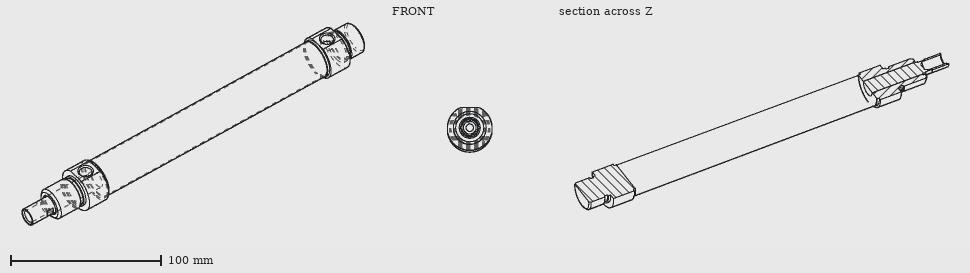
import cadquery as cq
import math

LENGTH = 275.0
FRONT_END = -LENGTH / 2
REAR_END = LENGTH / 2
PITCH_DEG = -0.33

THREAD_DIA = 22.0
GROOVE_DIA = 19.8
CAP_DIA = 30.0
COLLAR_DIA = 27.0
RUNOUT_CHAMFER = 0.5
GROOVE_WIDTH = 2.2
FLANGE_WIDTH = 1.7
CAP_WIDTH = 16.0
COLLAR_WIDTH = 1.7

FLAT_WIDTH = 12.0
FLAT_HEIGHT = math.sqrt(CAP_DIA ** 2 - FLAT_WIDTH ** 2) / 2
PORT_DIA = 8.5
PORT_MOUTH_DIA = 10.5
PORT_CHAMFER = (PORT_MOUTH_DIA - PORT_DIA) / 2
REAR_PORT_DEPTH = 7.0
PORT_CONE_DEPTH = 2.5
FRONT_PORT_DEPTH = FLAT_HEIGHT - PORT_CONE_DEPTH

REAR_THREAD_END = 12.0
REAR_CHAMFER = 1.0
NOSE_STATION = 18.5
NOSE_CHAMFER = 1.7
FRONT_THREAD_END = 37.0
NOSE_RECESS_DIA = 14.0
NOSE_RECESS_DEPTH = 1.5

TUBE_DIA = 26.5
TUBE_BORE = 25.0

ROD_DIA = 12.0
WRENCH_WIDTH = 11.0
WRENCH_START = 12.5
WRENCH_LENGTH = 5.0
ROD_HOLE_DIA = 8.5
ROD_MOUTH_DIA = 10.5
ROD_HOLE_DEPTH = 16.5
ROD_HOLE_FLOOR_DIA = 5.0
ROD_CHAMFER = (ROD_MOUTH_DIA - ROD_HOLE_DIA) / 2
ROD_CONE_DEPTH = (ROD_HOLE_DIA - ROD_HOLE_FLOOR_DIA) / 2


def cap_start(thread_end):
    """Station where the full-diameter part of a cap begins."""
    return thread_end + GROOVE_WIDTH + FLANGE_WIDTH


def cap_end(thread_end):
    """Station of a cap's inner face, against the tube."""
    return cap_start(thread_end) + CAP_WIDTH + COLLAR_WIDTH


def revolve_about_y(profile):
    """Revolve (radius, y) points around the Y axis."""
    return cq.Workplane("XY").polyline(profile).close().revolve(360, (0, 0, 0), (0, 1, 0))


def rod_cylinder(diameter, start, length):
    """Cylinder on the axis, from a station measured from the rod end."""
    return revolve_about_y([
        (0, FRONT_END + start),
        (diameter / 2, FRONT_END + start),
        (diameter / 2, FRONT_END + start + length),
        (0, FRONT_END + start + length),
    ])


def make_port(y, depth):
    """Cutting tool for a countersunk blind port with a conical floor."""
    floor = FLAT_HEIGHT - depth
    profile = [
        (0, FLAT_HEIGHT),
        (PORT_MOUTH_DIA / 2, FLAT_HEIGHT),
        (PORT_DIA / 2, FLAT_HEIGHT - PORT_CHAMFER),
        (PORT_DIA / 2, floor),
        (0, floor - PORT_CONE_DEPTH),
    ]
    tool = cq.Workplane("XZ").polyline(profile).close().revolve(360, (0, 0, 0), (0, 1, 0))
    return tool.translate((0, y, 0))


def make_cap(end_y, inward, nose, chamfer, thread_end, port_depth):
    """Threaded cap; inward is +1 or -1, the Y direction towards the tube."""
    start = cap_start(thread_end)
    shoulder = start + CAP_WIDTH
    flange = thread_end + GROOVE_WIDTH
    inner = cap_end(thread_end)
    stations = [
        (0, nose),
        (THREAD_DIA / 2 - chamfer, nose),
        (THREAD_DIA / 2, nose + chamfer),
        (THREAD_DIA / 2, thread_end - RUNOUT_CHAMFER),
        (THREAD_DIA / 2 - RUNOUT_CHAMFER, thread_end),
        (GROOVE_DIA / 2, thread_end),
        (GROOVE_DIA / 2, flange),
        (THREAD_DIA / 2, flange),
        (THREAD_DIA / 2, start),
        (CAP_DIA / 2, start),
        (CAP_DIA / 2, shoulder),
        (COLLAR_DIA / 2, shoulder),
        (COLLAR_DIA / 2, inner),
        (0, inner),
    ]
    cap = revolve_about_y([(radius, end_y + inward * station) for radius, station in stations])

    middle_y = end_y + inward * (start + CAP_WIDTH / 2)
    flat_cut = cq.Workplane("XY").box(CAP_DIA, CAP_WIDTH, CAP_DIA, centered=(True, True, False))
    cap = cap.cut(flat_cut.translate((0, middle_y, FLAT_HEIGHT)))
    return cap.cut(make_port(middle_y, port_depth))


def make_front_cap():
    """Cap with a rod bore and a shallow recess around the rod."""
    cap = make_cap(FRONT_END, 1, NOSE_STATION, NOSE_CHAMFER, FRONT_THREAD_END, FRONT_PORT_DEPTH)
    cap = cap.cut(rod_cylinder(ROD_DIA, 0, cap_end(FRONT_THREAD_END)))
    return cap.cut(rod_cylinder(NOSE_RECESS_DIA, NOSE_STATION, NOSE_RECESS_DEPTH))


def make_tube():
    """Plain tube between the two inner cap faces."""
    start = cap_end(FRONT_THREAD_END)
    length = LENGTH - start - cap_end(REAR_THREAD_END)
    return rod_cylinder(TUBE_DIA, start, length).cut(rod_cylinder(TUBE_BORE, start, length))


def make_rod():
    """Rod ending flush with the front cap's inner face."""
    rod = rod_cylinder(ROD_DIA, 0, cap_end(FRONT_THREAD_END))

    flat_cut = cq.Workplane("XY").box(ROD_DIA, WRENCH_LENGTH, ROD_DIA)
    flat_y = FRONT_END + WRENCH_START + WRENCH_LENGTH / 2
    for side in (-1, 1):
        rod = rod.cut(flat_cut.translate((side * (WRENCH_WIDTH + ROD_DIA) / 2, flat_y, 0)))

    hole_floor = FRONT_END + ROD_HOLE_DEPTH
    hole = revolve_about_y([
        (0, FRONT_END),
        (ROD_MOUTH_DIA / 2, FRONT_END),
        (ROD_HOLE_DIA / 2, FRONT_END + ROD_CHAMFER),
        (ROD_HOLE_DIA / 2, hole_floor - ROD_CONE_DEPTH),
        (ROD_HOLE_FLOOR_DIA / 2, hole_floor),
        (0, hole_floor),
    ])
    return rod.cut(hole)


def pitch(body):
    """Tilt a body about X so that the rod end is raised."""
    return body.rotate((0, 0, 0), (1, 0, 0), PITCH_DEG)


front_cap = pitch(make_front_cap())
rear_cap = pitch(make_cap(REAR_END, -1, 0, REAR_CHAMFER, REAR_THREAD_END, REAR_PORT_DEPTH))
tube = pitch(make_tube())
rod = pitch(make_rod())

result = cq.Compound.makeCompound([front_cap.val(), rear_cap.val(), tube.val(), rod.val()])